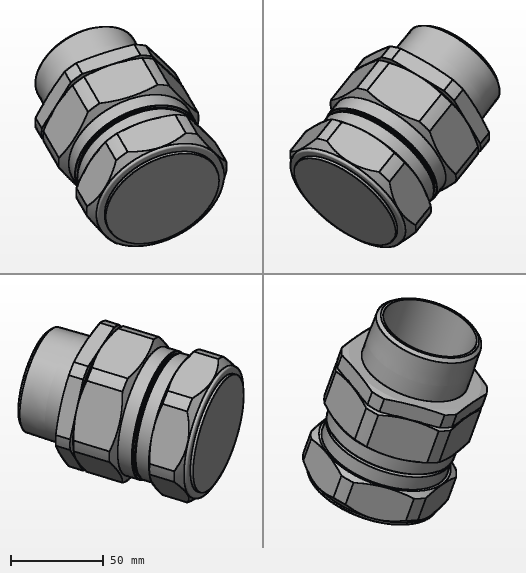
import cadquery as cq
import math


across_flats = 75.0
corner_radius = 41.2
face_radius = 37.4
hex_chamfer_angle = 30

cone_end = 17.0
flange_start = 27.4
body_start = 36.8
body_end = 62.9
groove_start = 71.4
nut_start = 81.7
nut_end = 102.7
rim_end = 104.6
total_length = 106.3

tip_radius = 27.9
cone_start = 1.9
cone_start_radius = 29.9
spigot_radius = 30.2
bore_radius = 26.5
bore_depth = rim_end

body_collar_radius = 36.5
nut_collar_radius = 35.9
groove_radius = 34.9
groove_width = 1.0
groove_left_chamfer = 0.2
groove_right_chamfer = nut_collar_radius - groove_radius

flange_chamfer = 0.9
chamfer_slope = math.tan(math.radians(hex_chamfer_angle))
hex_chamfer = (corner_radius - face_radius) * chamfer_slope
body_end_chamfer = (corner_radius - body_collar_radius) * chamfer_slope
nut_outer_chamfer = 4.1

rim_radius = 37.4
rim_round = 0.9
disc_radius = 33.4


def revolve_profile(points):
    """Turn an open (x, radius) outline, closed along the X axis, into a solid."""
    start_x = points[0][0]
    end_x = points[-1][0]
    outline = [(start_x, 0), *points, (end_x, 0)]
    return cq.Workplane("XY").polyline(outline).close().revolve(360, (0, 0, 0), (1, 0, 0))


def chamfered_hexagon(start, end, start_chamfer, end_chamfer, end_radius):
    """Hexagon with flats facing +Z and -Z, its corners trimmed by a chamfered cylinder."""
    across_corners = across_flats / math.cos(math.pi / 6)
    prism = cq.Workplane("YZ", origin=(start, 0, 0)).polygon(6, across_corners).extrude(end - start)
    envelope = [(start, face_radius), (start + start_chamfer, corner_radius)]
    if end_chamfer > 0:
        envelope.append((end - end_chamfer, corner_radius))
    envelope.append((end, end_radius))
    return prism.intersect(revolve_profile(envelope))


spigot = revolve_profile([
    (0, tip_radius),
    (cone_start, cone_start_radius),
    (cone_end, spigot_radius),
    (body_start, spigot_radius),
])

flange = chamfered_hexagon(flange_start, body_start, flange_chamfer, 0, corner_radius)
body = chamfered_hexagon(body_start, body_end, hex_chamfer, body_end_chamfer, body_collar_radius)

groove_end = groove_start + groove_width
collars = revolve_profile([
    (body_start, body_collar_radius),
    (groove_start - groove_left_chamfer, body_collar_radius),
    (groove_start, body_collar_radius - groove_left_chamfer),
    (groove_start, groove_radius),
    (groove_end, groove_radius),
    (groove_end + groove_right_chamfer, nut_collar_radius),
    (nut_end, nut_collar_radius),
])

nut = chamfered_hexagon(nut_start, nut_end, hex_chamfer, nut_outer_chamfer, face_radius)
rim = (
    cq.Workplane("YZ", origin=(nut_start, 0, 0))
    .circle(rim_radius)
    .extrude(rim_end - nut_start)
    .faces(">X")
    .edges()
    .fillet(rim_round)
)
disc = cq.Workplane("YZ", origin=(nut_start, 0, 0)).circle(disc_radius).extrude(total_length - nut_start)

bore = cq.Workplane("YZ").circle(bore_radius).extrude(bore_depth)

result = spigot.union(flange).union(body).union(collars).union(nut).union(rim).union(disc).cut(bore)